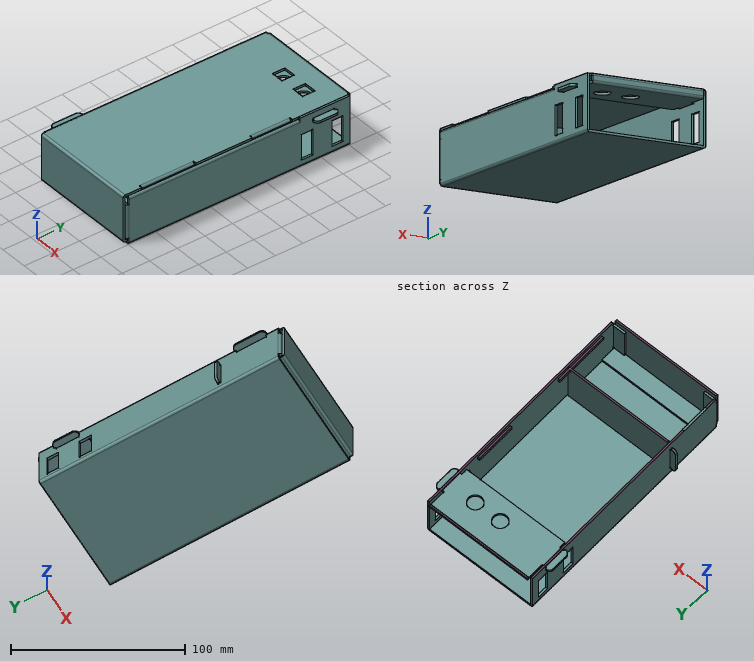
import cadquery as cq


LENGTH = 165.2
WIDTH = 80.0
HEIGHT = 34.7
SHEET = 1.5
BEND = 1.57
HALF = WIDTH / 2
INNER_HALF = HALF - SHEET
CEILING = HEIGHT - SHEET
SIDE_FRONT = 2 * BEND
SIDE_BACK = 163.2
PANEL_HALF = HALF - BEND

FRONT_FLANGE = 9.9
SIDE_FLANGE = 9.9
SIDE_FLANGE_BOTTOM = 4.1
SIDE_FLANGE_TOP = 28.0

SHELF_BACK = 127.0
SHELF_MARGIN = 8.3
PARTITION_BACK = 43.3
PARTITION_GAP = 0.5

LUG_SPANS = [(13.5, 52.9), (93.5, 122.7)]
LUG_FACE = 37.7
LUG_DEPTH = 5.6
LUG_RELIEF = 0.41

LIP_WIDTH = 74.7
RETURN_BOTTOM = 28.7
RETURN_FRONT = 132.2
OPENING_Y = 145.7
SQUARE_SIZE = 9.0
SQUARE_XS = [0.0, 19.3]
ROUND_DIAMETER = 10.0
ROUND_XS = [0.0, 19.0]

WINDOW_SPANS = [(128.0, 136.3), (150.2, 158.0)]
WINDOW_BOTTOM = 4.6
WINDOW_TOP = 22.6

TAB_REACH = 4.05
TAB_RADIUS = 3.0
TAB_UNDERCUT = 0.5
TAB_HOOK = 0.91
SLOT_CLEARANCE = 0.3
BACK_TAB_LENGTH = 17.2
BACK_TAB_Y = 144.2
FRONT_TAB_LENGTH = 21.6
SHELF_TAB_Y = 21.1
PARTITION_TAB_Z = 15.5


def block(x0, x1, y0, y1, z0, z1):
    """Box between two opposite corners."""
    return cq.Workplane("XY").box(x1 - x0, y1 - y0, z1 - z0, centered=False).translate((x0, y0, z0))


def side_shell():
    """Top, bottom and left wall folded into a U, with the right wall folded up from the bottom."""
    outer = block(-HALF, HALF, SIDE_FRONT, SIDE_BACK, 0, HEIGHT)
    outer = outer.edges("|Y").edges("<X or (>X and <Z)").fillet(BEND)
    cavity = block(-INNER_HALF, INNER_HALF, SIDE_FRONT, SIDE_BACK, SHEET, CEILING)
    return outer.cut(cavity)


def right_wall_fold():
    """Corner removed where the right wall folds in under the top plate, ahead of SHELF_BACK."""
    above = block(PANEL_HALF, HALF, SIDE_FRONT, SHELF_BACK, CEILING - BEND, HEIGHT)
    fold = (
        cq.Workplane("XZ", origin=(PANEL_HALF, SIDE_FRONT, CEILING - BEND))
        .circle(BEND)
        .extrude(SIDE_FRONT - SHELF_BACK)
    )
    return above.cut(fold)


def shelf():
    """Shelf under the top plate with a partition folded down across the box."""
    left = PARTITION_GAP - INNER_HALF
    bottom = CEILING - SHEET
    deck = block(left, INNER_HALF, SIDE_FRONT, PARTITION_BACK, bottom, CEILING)
    margin = block(INNER_HALF - SHELF_MARGIN, INNER_HALF, SIDE_FRONT, SHELF_BACK, bottom, CEILING)
    partition = block(left, -left, PARTITION_BACK - SHEET, PARTITION_BACK, SHEET, CEILING)
    return deck.union(margin).union(partition)


def front_wall():
    """Front wall folded down from the top plate and back over the bottom plate."""
    outer = block(-PANEL_HALF, PANEL_HALF, 0, SIDE_FRONT + FRONT_FLANGE, SHEET, HEIGHT)
    outer = outer.edges("|X and <Y").fillet(BEND)
    hollow = block(-PANEL_HALF, PANEL_HALF, SHEET, SIDE_FRONT + FRONT_FLANGE, 2 * SHEET, CEILING)
    return outer.cut(hollow)


def side_flange():
    """Flange of the left wall folded in behind the front wall."""
    end = SIDE_FLANGE - HALF
    back = SIDE_FRONT + SHEET
    flange = block(-HALF, end, BEND, back, SIDE_FLANGE_BOTTOM, SIDE_FLANGE_TOP)
    flange = flange.edges("|Z and <X and <Y").fillet(BEND)
    hollow = block(-INNER_HALF, end, BEND + SHEET, back, SIDE_FLANGE_BOTTOM, SIDE_FLANGE_TOP)
    return flange.cut(hollow)


def back_lip():
    """Lip folded down from the top plate and forward again as a return plate."""
    half = LIP_WIDTH / 2
    outer = block(-half, half, RETURN_FRONT, LENGTH, RETURN_BOTTOM, HEIGHT)
    outer = outer.edges("|X and >Y").fillet(BEND)
    hollow = block(-half, half, RETURN_FRONT, LENGTH - SHEET, RETURN_BOTTOM + SHEET, CEILING)
    return outer.cut(hollow)


def lug(front, back):
    """Lug folded down from the top plate inside the right wall."""
    inner = LUG_FACE - BEND - SHEET
    y0 = front + LUG_RELIEF
    y1 = back - LUG_RELIEF
    outer = block(inner, LUG_FACE, y0, y1, HEIGHT - LUG_DEPTH, HEIGHT)
    outer = outer.edges("|Y and >X and >Z").fillet(BEND)
    return outer.cut(block(inner, LUG_FACE - SHEET, y0, y1, HEIGHT - LUG_DEPTH, CEILING))


def tab(length, root):
    """Hooked tab lying in XY, pointing to -X, centred on Y = 0 and Z = 0."""
    tip = block(-HALF - TAB_REACH, -HALF - TAB_UNDERCUT, -length / 2, length / 2, -SHEET / 2, SHEET / 2)
    tip = tip.edges("|Z and <X").fillet(TAB_RADIUS)
    neck_half = length / 2 - TAB_HOOK
    neck = block(-HALF - TAB_UNDERCUT, root, -neck_half, neck_half, -SHEET / 2, SHEET / 2)
    return tip.union(neck)


def tab_slot(length):
    """Slot through the left wall for a tab; its ends touch the neck of the tab."""
    half = length / 2 - TAB_HOOK
    thick = SHEET / 2 + SLOT_CLEARANCE
    return block(-HALF, -INNER_HALF, -half, half, -thick, thick)


def on_shelf(body):
    """Move a tab or slot to the shelf."""
    return body.translate((0, SHELF_TAB_Y, CEILING - SHEET / 2))


def on_partition(body):
    """Stand a tab or slot upright and move it to the partition."""
    upright = body.rotate((0, 0, 0), (1, 0, 0), 90)
    return upright.translate((0, PARTITION_BACK - SHEET / 2, PARTITION_TAB_Z))


def on_return_plate(body):
    """Move a tab or slot to the return plate."""
    return body.translate((0, BACK_TAB_Y, RETURN_BOTTOM + SHEET / 2))


result = side_shell().cut(right_wall_fold())
for front, back in LUG_SPANS:
    result = result.cut(block(LUG_FACE - BEND, PANEL_HALF, front, back, CEILING, HEIGHT))
for front, back in WINDOW_SPANS:
    result = result.cut(block(-HALF, HALF, front, back, WINDOW_BOTTOM, WINDOW_TOP))

result = result.cut(block(PANEL_HALF, INNER_HALF, SHELF_BACK, SIDE_BACK, CEILING, HEIGHT))

back_slot = on_return_plate(tab_slot(BACK_TAB_LENGTH))
result = result.cut(back_slot).cut(back_slot.mirror("YZ"))
shelf_slot = on_shelf(tab_slot(FRONT_TAB_LENGTH))
result = result.cut(shelf_slot.translate((0, 0, -SLOT_CLEARANCE)))
result = result.cut(on_partition(tab_slot(FRONT_TAB_LENGTH)))

flange = side_flange()
for piece in [front_wall(), flange, flange.mirror("YZ"), shelf(), back_lip()]:
    result = result.union(piece)
for front, back in LUG_SPANS:
    result = result.union(lug(front, back))

inner_root = SHEET - INNER_HALF
back_tab = on_return_plate(tab(BACK_TAB_LENGTH, SHEET - LIP_WIDTH / 2))
result = result.union(back_tab).union(back_tab.mirror("YZ"))
front_tab = tab(FRONT_TAB_LENGTH, inner_root)
result = result.union(on_shelf(front_tab)).union(on_partition(front_tab))

for x in SQUARE_XS:
    half = SQUARE_SIZE / 2
    result = result.cut(block(x - half, x + half, OPENING_Y - half, OPENING_Y + half, CEILING, HEIGHT))
for x in ROUND_XS:
    hole = cq.Workplane("XY", origin=(x, OPENING_Y, RETURN_BOTTOM)).circle(ROUND_DIAMETER / 2).extrude(SHEET)
    result = result.cut(hole)